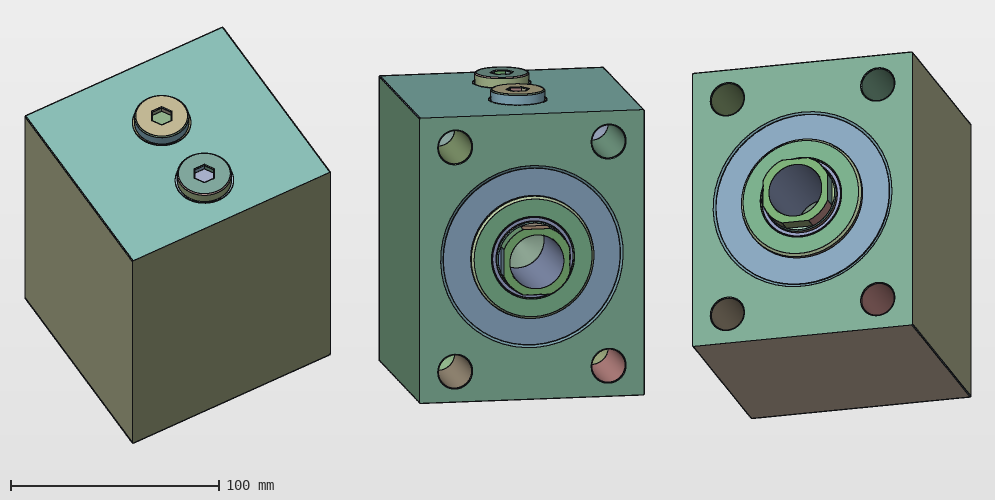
import cadquery as cq
import math

TOTAL_LENGTH = 116.0
TOTAL_HEIGHT = 144.9

BLOCK_LENGTH = 103.3
BLOCK_WIDTH = 110.0
BLOCK_HEIGHT = 140.0
BLOCK_CHAMFER = 0.5

MOUNT_RADIUS = 8.1
MOUNT_CHAMFER = 0.5
MOUNT_DEPTH = 43.5
MOUNT_PITCH_Y = 75.0
MOUNT_PITCH_Z = 110.0
DRILL_POINT_ANGLE = 118.0

GLAND_RADIUS = 43.3
GLAND_DEPTH = 20.3
GLAND_SEAT_CHAMFER_WIDTH = 1.3
GLAND_SEAT_CHAMFER_DEPTH = 0.7
BOSS_RADIUS = 30.0
BOSS_HEIGHT = 3.0
BOSS_CHAMFER = 1.2
WIPER_RADIUS = 19.7
WIPER_DEPTH = 0.9
WIPER_RIM_RADIUS = 20.3
WIPER_RIM_DEPTH = 0.5

ROD_RADIUS = 18.0
ROD_PROJECTION = TOTAL_LENGTH - BLOCK_LENGTH
ROD_INSIDE = 58.0
ROD_CHAMFER = 0.6
NOSE_RADIUS = ROD_RADIUS - ROD_CHAMFER
NOSE_LENGTH = 7.8
NOSE_ACROSS_FLATS = 32.2
ROD_HOLE_RADIUS = 13.2
ROD_HOLE_DEPTH = 50.7

PLUG_POSITIONS_X = (36.2, 77.2)
PLUG_RADIUS = 13.0
PLUG_PROJECTION = TOTAL_HEIGHT - BLOCK_HEIGHT
PLUG_CHAMFER = 0.6
PLUG_DEPTH = 14.5
PLUG_HEX_ACROSS_FLATS = 9.0
PLUG_HEX_DEPTH = 2.9
PLUG_HEX_CHAMFER = 0.5
SPOTFACE_RADIUS = 14.0
SPOTFACE_DEPTH = 0.5

BLOCK_TOP = BLOCK_HEIGHT / 2


def cylinder_x(radius, x_start, x_end):
    """Cylinder on the rod axis between two X positions."""
    return cq.Workplane("YZ", origin=(x_start, 0, 0)).circle(radius).extrude(x_end - x_start)


def cone_x(radius_start, radius_end, x_start, length):
    """Truncated cone on the rod axis."""
    return cq.Workplane(
        cq.Solid.makeCone(radius_start, radius_end, length, cq.Vector(x_start, 0, 0), cq.Vector(1, 0, 0))
    )


def drilled_hole_x(radius, x_start, depth):
    """Blind hole shape on the rod axis: a cylinder of the given depth plus a conical drill point."""
    point_length = radius / math.tan(math.radians(DRILL_POINT_ANGLE / 2))
    x_end = x_start + depth
    return (
        cq.Workplane("XY")
        .moveTo(x_start, 0)
        .lineTo(x_start, radius)
        .lineTo(x_end, radius)
        .lineTo(x_end + point_length, 0)
        .close()
        .revolve(360, (0, 0, 0), (1, 0, 0))
    )


def make_block():
    block = (
        cq.Workplane("XY")
        .box(BLOCK_LENGTH, BLOCK_WIDTH, BLOCK_HEIGHT, centered=(False, True, True))
        .edges("|X")
        .chamfer(BLOCK_CHAMFER)
    )

    block = block.cut(cylinder_x(GLAND_RADIUS, 0, GLAND_DEPTH))
    seat_mouth = cone_x(
        GLAND_RADIUS + GLAND_SEAT_CHAMFER_WIDTH, GLAND_RADIUS, 0, GLAND_SEAT_CHAMFER_DEPTH
    )
    block = block.cut(seat_mouth)
    block = block.cut(cylinder_x(ROD_RADIUS, GLAND_DEPTH, ROD_INSIDE))

    mount_hole = drilled_hole_x(MOUNT_RADIUS, 0, MOUNT_DEPTH).union(
        cone_x(MOUNT_RADIUS + MOUNT_CHAMFER, MOUNT_RADIUS, 0, MOUNT_CHAMFER)
    )
    for side_y in (-1, 1):
        for side_z in (-1, 1):
            offset = (0, side_y * MOUNT_PITCH_Y / 2, side_z * MOUNT_PITCH_Z / 2)
            block = block.cut(mount_hole.translate(offset))

    plug_centres = [(x, 0) for x in PLUG_POSITIONS_X]
    top_plane = cq.Workplane("XY", origin=(0, 0, BLOCK_TOP)).pushPoints(plug_centres)
    block = block.cut(top_plane.circle(PLUG_RADIUS).extrude(-PLUG_DEPTH))
    return block.cut(top_plane.circle(SPOTFACE_RADIUS).extrude(-SPOTFACE_DEPTH))


def make_gland():
    boss = cylinder_x(BOSS_RADIUS, -BOSS_HEIGHT, 0).faces("<X").chamfer(BOSS_CHAMFER)
    gland = cylinder_x(GLAND_RADIUS, 0, GLAND_DEPTH).union(boss)
    gland = gland.cut(cylinder_x(ROD_RADIUS, -BOSS_HEIGHT, GLAND_DEPTH))

    gland = gland.cut(cylinder_x(WIPER_RADIUS, -BOSS_HEIGHT, WIPER_DEPTH - BOSS_HEIGHT))
    return gland.cut(cylinder_x(WIPER_RIM_RADIUS, -BOSS_HEIGHT, WIPER_RIM_DEPTH - BOSS_HEIGHT))


def make_rod():
    shoulder_x = NOSE_LENGTH - ROD_PROJECTION
    shaft = cylinder_x(ROD_RADIUS, shoulder_x, ROD_INSIDE).faces("<X").chamfer(ROD_CHAMFER)

    flats = cq.Workplane("XY").box(
        NOSE_LENGTH, NOSE_ACROSS_FLATS, NOSE_ACROSS_FLATS, centered=(False, True, True)
    ).translate((-ROD_PROJECTION, 0, 0))
    nose = cylinder_x(NOSE_RADIUS, -ROD_PROJECTION, shoulder_x).intersect(flats)

    return shaft.union(nose).cut(drilled_hole_x(ROD_HOLE_RADIUS, -ROD_PROJECTION, ROD_HOLE_DEPTH))


def make_plug(x):
    height = PLUG_DEPTH + PLUG_PROJECTION
    hex_diameter = PLUG_HEX_ACROSS_FLATS / math.cos(math.radians(30))
    plug = (
        cq.Workplane("XY")
        .circle(PLUG_RADIUS)
        .extrude(height)
        .faces(">Z")
        .chamfer(PLUG_CHAMFER)
    )

    socket = (
        cq.Workplane("XY", origin=(0, 0, height))
        .transformed(rotate=(0, 0, 90))
        .polygon(6, hex_diameter)
        .extrude(-PLUG_HEX_DEPTH)
    )
    plug = plug.cut(socket).faces(">Z").wires(cq.selectors.LengthNthSelector(0)).chamfer(PLUG_HEX_CHAMFER)
    return plug.translate((x, 0, BLOCK_TOP - PLUG_DEPTH))


block = make_block()
gland = make_gland()
rod = make_rod()
plugs = [make_plug(x) for x in PLUG_POSITIONS_X]

result = cq.Compound.makeCompound(
    [block.val(), gland.val(), rod.val(), *[plug.val() for plug in plugs]]
)